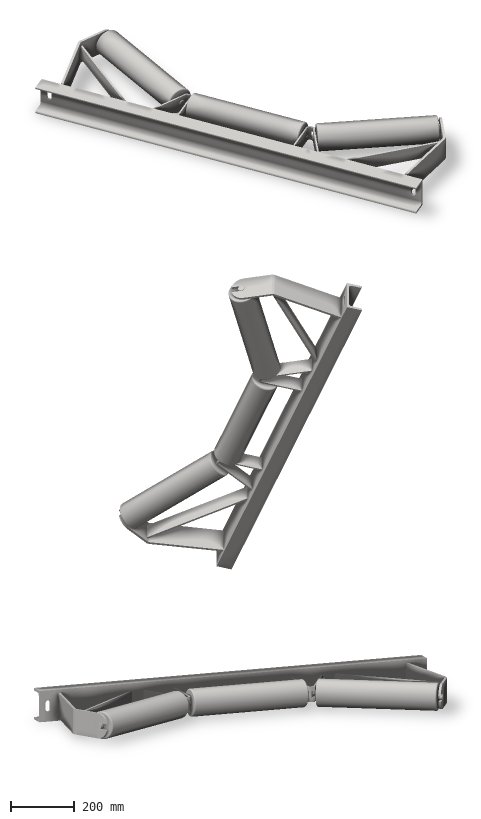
import cadquery as cq
import math

beam_length = 1300.0
beam_height = 100.0
flange_width = 50.0
flange_thickness = 8.0
web_thickness = 6.0
root_radius = 9.0
toe_radius = 5.0
slot_width = 15.0
slot_height = 36.0
slot_inset = 29.0

roller_diameter = 88.0
roller_length = 382.0
rim_radius = 4.0
shaft_diameter = 20.0
trough_angle = 30.0
centre_roller_y = 117.0
side_roller_x = 399.0
side_roller_y = 222.0
shaft_stub = 1.0

outer_thickness = 8.0
outer_gap = 5.0
outer_height = 80.0
outer_tip = 32.0
outer_drop = 99.0
outer_foot_x = 580.0
bend_setback = 4.0

inner_thickness = 5.0
centre_gap = 4.0
side_gap = 5.0
inner_height = 50.0
inner_top_y = 143.0
inner_bend_radius = 13.0

strut_height = 50.0
strut_thickness = 6.0
strut_foot_x = 339.0

outer_face = roller_length / 2 + outer_gap
outer_back = outer_face + outer_thickness
upright_face = roller_length / 2 + centre_gap
upright_back = upright_face + inner_thickness
slant_face = -roller_length / 2 - side_gap
slant_back = slant_face - inner_thickness
centre_shaft_length = 2 * upright_back
side_shaft_length = 2 * (outer_back + shaft_stub)

tilt_radians = math.radians(trough_angle)


def side_point(along, up):
    """World XY of a point measured along the +X side roller's axis and square to it."""
    x = side_roller_x + along * math.cos(tilt_radians) - up * math.sin(tilt_radians)
    y = side_roller_y + along * math.sin(tilt_radians) + up * math.cos(tilt_radians)
    return x, y


def place_at_side(body):
    """Carry a body from a roller centred on the origin to the +X side roller."""
    return body.rotate((0, 0, 0), (0, 0, 1), trough_angle).translate((side_roller_x, side_roller_y, 0))


def wall(points, height):
    """Upright body with the given XY outline, centred on Z = 0."""
    return cq.Workplane("XY").polyline(points).close().extrude(height / 2, both=True)


def make_beam():
    """Channel section with rounded roots and toes, slotted near both ends."""
    half = beam_height / 2
    inside = half - flange_thickness
    root_y = -web_thickness - root_radius
    toe_y = -flange_width + toe_radius
    root_z = inside - root_radius
    toe_z = inside + toe_radius
    return (
        cq.Workplane("YZ", origin=(-beam_length / 2, 0, 0))
        .moveTo(0, -half)
        .lineTo(-flange_width, -half)
        .lineTo(-flange_width, -toe_z)
        .radiusArc((toe_y, -inside), toe_radius)
        .lineTo(root_y, -inside)
        .radiusArc((-web_thickness, -root_z), -root_radius)
        .lineTo(-web_thickness, root_z)
        .radiusArc((root_y, inside), -root_radius)
        .lineTo(toe_y, inside)
        .radiusArc((-flange_width, toe_z), toe_radius)
        .lineTo(-flange_width, half)
        .lineTo(0, half)
        .close()
        .extrude(beam_length)
        .cut(make_beam_slots())
    )


def make_beam_slots():
    """Mounting slots through the web."""
    slot_x = beam_length / 2 - slot_inset
    return (
        cq.Workplane("XZ")
        .pushPoints([(-slot_x, 0), (slot_x, 0)])
        .slot2D(slot_height, slot_width, 90)
        .extrude(web_thickness)
    )


def rod(diameter, length):
    """Cylinder along X, centred on the origin."""
    return cq.Workplane("YZ", origin=(-length / 2, 0, 0)).circle(diameter / 2).extrude(length)


def make_roller(shaft_length):
    """Roller with its shaft, axis along X, centred on the origin."""
    shell = rod(roller_diameter, roller_length).edges().fillet(rim_radius)
    return shell.union(rod(shaft_diameter, shaft_length))


def shaft_slots(shaft_length):
    """Open-topped slots for both ends of a roller's shaft."""
    mouth = cq.Workplane("XY").box(shaft_length, roller_diameter, shaft_diameter)
    mouth = mouth.translate((0, roller_diameter / 2, 0))
    return rod(shaft_diameter, shaft_length).union(mouth)


def make_outer_bracket():
    """Round-topped plate square to the side roller, joined to a leg down to the beam."""
    half = outer_height / 2
    plate = (
        cq.Workplane("YZ", origin=(outer_face, 0, 0))
        .moveTo(-outer_drop, -half)
        .lineTo(outer_tip - half, -half)
        .threePointArc((outer_tip, 0), (outer_tip - half, half))
        .lineTo(-outer_drop, half)
        .close()
        .extrude(outer_thickness)
        .cut(shaft_slots(side_shaft_length))
    )
    bend_inside = side_point(outer_face, -outer_drop)
    bend_outside = side_point(outer_back, -outer_drop)
    shoulder = (bend_inside[0] + outer_thickness, bend_inside[1] - bend_setback)
    leg = wall(
        [bend_inside, bend_outside, shoulder, (outer_foot_x + outer_thickness, 0), (outer_foot_x, 0)],
        outer_height,
    )
    return place_at_side(plate).union(leg)


def make_strut():
    """Flat brace from the beam up to the inside of the outer bracket's bend."""
    lower_top = side_point(outer_face, -outer_drop)
    rise = math.atan2(lower_top[1], lower_top[0] - strut_foot_x)
    foot_width = strut_thickness / math.sin(rise)
    top_width = strut_thickness / math.cos(rise - tilt_radians)
    upper_top = side_point(outer_face, top_width - outer_drop)
    return wall([(strut_foot_x, 0), (strut_foot_x + foot_width, 0), lower_top, upper_top], strut_height)


def make_inner_bracket():
    """Bent strip that carries the centre roller and the inner end of a side roller."""
    def slanted(along, y):
        """Point at height y on the plane square to the side roller's axis."""
        x, axis_y = side_point(along, 0)
        return x + (axis_y - y) * math.tan(tilt_radians), y

    under_y = inner_top_y - inner_thickness
    strip = wall(
        [
            (upright_face, 0),
            (upright_face, inner_top_y),
            slanted(slant_face, inner_top_y),
            slanted(slant_face, 0),
            slanted(slant_back, 0),
            slanted(slant_back, under_y),
            (upright_back, under_y),
            (upright_back, 0),
        ],
        inner_height,
    )
    bend_outside = cq.selectors.NearestToPointSelector((upright_face, inner_top_y, 0))
    bend_inside = cq.selectors.NearestToPointSelector((upright_back, under_y, 0))
    strip = strip.edges(bend_outside).fillet(inner_bend_radius)
    strip = strip.edges(bend_inside).fillet(inner_bend_radius - inner_thickness)
    strip = strip.cut(shaft_slots(centre_shaft_length).translate((0, centre_roller_y, 0)))
    return strip.cut(place_at_side(shaft_slots(side_shaft_length)))


beam = make_beam()
centre_roller = make_roller(centre_shaft_length).translate((0, centre_roller_y, 0))
side_bodies = [
    place_at_side(make_roller(side_shaft_length)),
    make_outer_bracket(),
    make_strut(),
    make_inner_bracket(),
]

solids = [beam.val(), centre_roller.val()]
for body in side_bodies:
    solids.append(body.val())
    solids.append(body.mirror("YZ").val())

result = cq.Compound.makeCompound(solids)